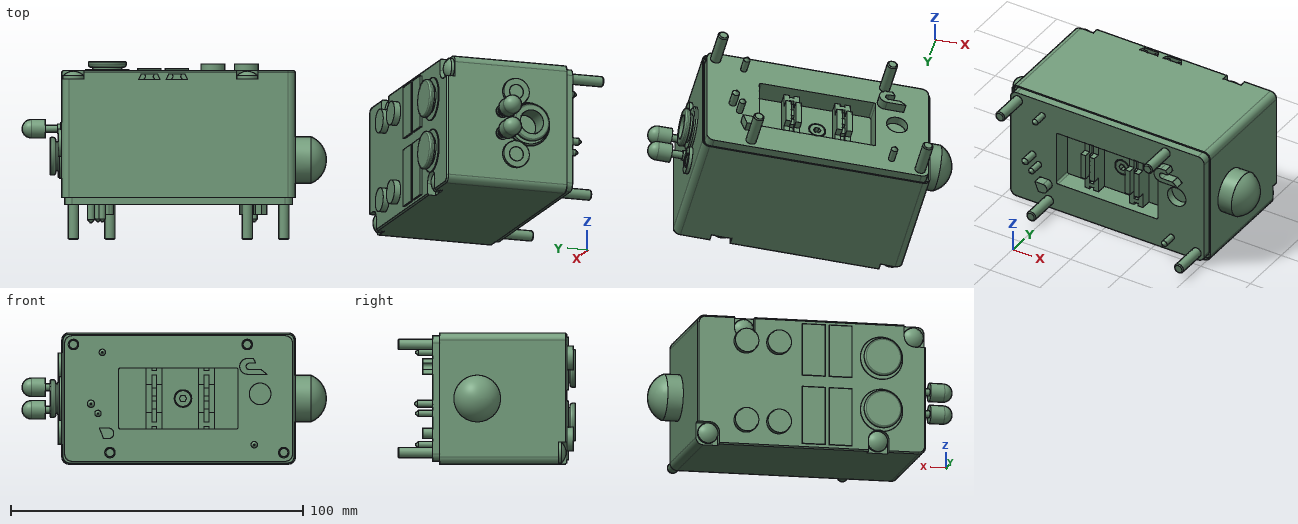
import cadquery as cq
import math


BODY_LENGTH = 80.0
BODY_HEIGHT = 45.0
CORNER_RADIUS = 2.5
SHELL_FRONT = 2.4
SHELL_BACK = 45.95
BACK_EDGE_CHAMFER = 0.5
RIM_WALL = 0.5
RIM_GROOVE_DEPTH = 1.0
PLATE_LENGTH = 78.0
PLATE_HEIGHT = 43.0

SCREW_PITCH = 59.5
SCREW_STAGGER = 12.5
SCREW_Z = 18.5
SCREW_RADIUS = 1.8
SCREW_TIP_Y = -11.9
SCREW_TIP_CHAMFER = 0.4
HEAD_NOTCH_RADIUS = 3.6
HEAD_NOTCH_DEPTH = 2.85
HEAD_RADIUS = 3.5
HEAD_RIM = 1.05
HEAD_HEIGHT = 2.6
SCREW_POSITIONS = [
    (-(SCREW_PITCH + SCREW_STAGGER) / 2, SCREW_Z),
    ((SCREW_PITCH - SCREW_STAGGER) / 2, SCREW_Z),
    (-(SCREW_PITCH - SCREW_STAGGER) / 2, -SCREW_Z),
    ((SCREW_PITCH + SCREW_STAGGER) / 2, -SCREW_Z),
]

PIN_TIP_LENGTH = 1.1
PIN_TIP_TAPER = 0.8
CONTACT_PINS = [
    (-26.1, 15.8, 1.1, 4.8),
    (-30.0, -1.8, 1.25, 5.1),
    (-27.6, -5.1, 1.1, 4.8),
    (25.9, -15.8, 1.1, 4.8),
]

KEY_HEIGHT = 3.4
D_KEY_LEFT = -27.1
D_KEY_FOOT_LEFT = -25.7
D_KEY_ARC_START = -23.8
D_KEY_RIGHT = -22.2
D_KEY_TOP = -10.1
D_KEY_BOTTOM = -13.7
HOOK_X = 23.6
HOOK_Z = 11.0
HOOK_OUTER_RADIUS = 2.7
HOOK_INNER_RADIUS = 1.1
HOOK_ARC_SHIFT = 0.6
HOOK_TOP_END = 25.6
HOOK_TOP_INNER_END = 26.4
HOOK_FOOT_END = 30.2
HOOK_FOOT_INNER_END = 28.3
RECESS_X = 27.9
RECESS_Z = 1.6
RECESS_RADIUS = 3.7
RECESS_DEPTH = 3.0

WINDOW_X = -0.1
WINDOW_LENGTH = 40.9
WINDOW_HEIGHT = 21.0
WINDOW_DEPTH = 7.2
WINDOW_CORNER = 0.7
BLOCK_PITCH = 17.9
BLOCK_CENTRE_X = 0.6
BLOCK_WIDTH = 5.45
BLOCK_FACE_Y = 3.3
BAR_LENGTH = 9.7
BAR_FACE_Y = 0.6
CHANNEL_WIDTH = 1.6
CHANNEL_DEPTH = 1.5
BRIDGE_Z = 8.8
BRIDGE_WIDTH = 1.6
RUNG_Z = 2.25
RUNG_WIDTH = 2.8
CLAMP_SCREW_X = 1.5
CLAMP_SCREW_RADIUS = 3.0
CLAMP_RING_WIDTH = 0.3
CLAMP_RECESS_DEPTH = 0.8
CLAMP_HEX = 2.5
CLAMP_HEX_DEPTH = 2.0

LEVER_Y = 26.0
LEVER_Z = 3.85
LEVER_KNOB_RADIUS = 3.2
LEVER_KNOB_START = -45.6
LEVER_TIP = -53.6
LEVER_STEM_RADIUS = 1.25
LEVER_COLLAR_RADIUS = 1.7
LEVER_COLLAR_END = -41.5
LEVER_NUT_RADIUS = 2.2
LEVER_NUT_END = -40.5
SOCKET_Y = 16.6
SOCKET_BASE_RADIUS = 7.6
SOCKET_BASE_END = -41.2
SOCKET_NECK_RADIUS = 5.0
SOCKET_LIP_RADIUS = 6.5
SOCKET_LIP_END = -44.0
SOCKET_LIP_WIDTH = 2.0
SOCKET_LIP_FACE_ROUND = 0.5
SOCKET_LIP_BACK_ROUND = 1.0
SOCKET_BASE_CHAMFER = 0.5
SOCKET_BORE_RADIUS = 4.2
SOCKET_BORE_DEPTH = 8.0
DISC_Y = 21.2
DISC_Z = 11.0
DISC_RADIUS = 4.65
DISC_END = -41.2
DISC_CORE_RADIUS = 2.5
DISC_CORE_DEPTH = 0.2

DOME_Y = 15.3
DOME_RADIUS = 8.0
DOME_START = 45.4
DOME_TIP = 50.62

REAR_LIP_X = -24.4
REAR_LIP_Z = (10.3, -8.0)
REAR_LIP_END = 49.0
REAR_BASE_RADIUS = 7.4
REAR_BASE_END = 46.3
REAR_BUTTON_RADIUS = 4.1
REAR_BUTTON_END = 48.2
REAR_BUTTON_COLUMNS_X = (11.75, 23.2)
REAR_BUTTON_Z = 13.9
LABEL_CENTRES_X = (-10.0, -0.6)
LABEL_WIDTH = 8.0
LABEL_END = 46.6
LABEL_SPANS_Z = ((3.0, 21.0), (-21.0, -1.0))

SLOT_CENTRES_X = (-10.0, -0.6)
SLOT_FRONT_Y = 42.9
SLOT_BACK_Y = 44.7
SLOT_FRONT_WIDTH = 7.3
SLOT_BACK_WIDTH = 5.6
SLOT_DEPTH = 0.9
SLOT_CORE_DEPTH = 1.5
SLOT_CORE_FRONT_WIDTH = 3.8
SLOT_CORE_WAIST = 2.5
SLOT_CORE_BACK_WIDTH = 3.2


def box(x_range, y_range, z_range):
    """Axis-aligned box between the given limits."""
    (x0, x1), (y0, y1), (z0, z1) = x_range, y_range, z_range
    return cq.Workplane("XY").box(x1 - x0, y1 - y0, z1 - z0, centered=False).translate((x0, y0, z0))


def y_plane(y):
    """Sketch plane at depth y, whose local axes are X and Z and whose normal is -Y."""
    return cq.Workplane("XZ", origin=(0, y, 0))


def y_cylinder(x, z, radius, y0, y1):
    """Cylinder along Y from y0 to y1."""
    return y_plane(y1).center(x, z).circle(radius).extrude(y1 - y0)


def x_cylinder(y, z, radius, x0, x1):
    """Cylinder along X from x0 to x1."""
    return cq.Workplane("YZ", origin=(x0, 0, 0)).center(y, z).circle(radius).extrude(x1 - x0)


def cap_middle(base, tip, radius):
    """Axial place and radius of the point halfway along a spherical cap's arc."""
    height = tip - base
    sphere_radius = (radius ** 2 + height ** 2) / (2 * abs(height))
    angle = math.acos(1 - abs(height) / sphere_radius) / 2
    drop = sphere_radius * (1 - math.cos(angle))
    return tip - math.copysign(drop, height), sphere_radius * math.sin(angle)


def x_domed_rod(y, z, radius, foot, base, tip):
    """Round rod along X from foot to base, closed by a spherical cap reaching tip."""
    profile = cq.Workplane("XY").moveTo(foot, 0).lineTo(foot, radius).lineTo(base, radius)
    profile = profile.threePointArc(cap_middle(base, tip, radius), (tip, 0)).close()
    return profile.revolve(360, (0, 0, 0), (1, 0, 0)).translate((0, y, z))


def make_enclosure():
    """Shell with a grooved rim around the mounting plate."""
    shell = y_plane(SHELL_BACK).rect(BODY_LENGTH, BODY_HEIGHT).extrude(SHELL_BACK - SHELL_FRONT)
    shell = shell.edges("|Y").fillet(CORNER_RADIUS)
    shell = shell.faces(">Y").edges().chamfer(BACK_EDGE_CHAMFER)
    groove_floor = SHELL_FRONT + RIM_GROOVE_DEPTH
    rim = y_plane(groove_floor).rect(BODY_LENGTH - 2 * RIM_WALL, BODY_HEIGHT - 2 * RIM_WALL)
    rim = rim.extrude(RIM_GROOVE_DEPTH).edges("|Y").fillet(CORNER_RADIUS - RIM_WALL)
    plate = y_plane(groove_floor).rect(PLATE_LENGTH, PLATE_HEIGHT).extrude(groove_floor)
    plate = plate.edges("|Y").fillet(CORNER_RADIUS)
    return shell.cut(rim).union(plate)


def make_head_notch(x, z, seat):
    """Round-bottomed notch for a screw head, open to the nearest long edge and any corner beside it."""
    edge_z = math.copysign(BODY_HEIGHT / 2, z)
    left, right = x - HEAD_NOTCH_RADIUS, x + HEAD_NOTCH_RADIUS
    notch = y_cylinder(x, z, HEAD_NOTCH_RADIUS, seat, SHELL_BACK)
    notch = notch.union(box((left, right), (seat, SHELL_BACK), sorted((z, edge_z))))
    if BODY_LENGTH / 2 - abs(x) < 2 * HEAD_NOTCH_RADIUS:
        inner_z = z - math.copysign(HEAD_NOTCH_RADIUS, z)
        x_range = sorted((x, math.copysign(BODY_LENGTH / 2, x)))
        notch = notch.union(box(x_range, (seat, SHELL_BACK), sorted((inner_z, edge_z))))
    return notch


def add_screws(body):
    """Four through screws with domed heads sunk in notches of the rear edges."""
    seat = SHELL_BACK - HEAD_NOTCH_DEPTH
    for x, z in SCREW_POSITIONS:
        body = body.cut(make_head_notch(x, z, seat))
        head = x_domed_rod(0, 0, HEAD_RADIUS, 0, HEAD_RIM, HEAD_HEIGHT)
        head = head.rotate((0, 0, 0), (0, 0, 1), 90).translate((x, seat, z))
        shank = y_cylinder(x, z, SCREW_RADIUS, SCREW_TIP_Y, seat)
        shank = shank.faces("<Y").chamfer(SCREW_TIP_CHAMFER)
        body = body.union(head).union(shank)
    return body


def add_contact_pins(body):
    """Small pins with pointed tips on the mounting face."""
    for x, z, radius, length in CONTACT_PINS:
        pin = y_cylinder(x, z, radius, -length - PIN_TIP_LENGTH, SHELL_FRONT)
        body = body.union(pin.faces("<Y").chamfer(PIN_TIP_LENGTH, radius * PIN_TIP_TAPER))
    return body


def add_keys(body):
    """D-shaped key and hook-shaped key on the mounting face."""
    d_key = (
        y_plane(0).moveTo(D_KEY_LEFT, D_KEY_TOP).lineTo(D_KEY_ARC_START, D_KEY_TOP)
        .threePointArc((D_KEY_RIGHT, (D_KEY_TOP + D_KEY_BOTTOM) / 2), (D_KEY_ARC_START, D_KEY_BOTTOM))
        .lineTo(D_KEY_FOOT_LEFT, D_KEY_BOTTOM).close().extrude(KEY_HEIGHT)
    )
    inner_x = HOOK_X + HOOK_ARC_SHIFT
    hook = (
        y_plane(0).moveTo(HOOK_TOP_END, HOOK_Z + HOOK_OUTER_RADIUS)
        .lineTo(HOOK_X, HOOK_Z + HOOK_OUTER_RADIUS)
        .threePointArc((HOOK_X - HOOK_OUTER_RADIUS, HOOK_Z), (HOOK_X, HOOK_Z - HOOK_OUTER_RADIUS))
        .lineTo(HOOK_FOOT_END, HOOK_Z - HOOK_OUTER_RADIUS)
        .lineTo(HOOK_FOOT_INNER_END, HOOK_Z - HOOK_INNER_RADIUS)
        .lineTo(inner_x, HOOK_Z - HOOK_INNER_RADIUS)
        .threePointArc((inner_x - HOOK_INNER_RADIUS, HOOK_Z), (inner_x, HOOK_Z + HOOK_INNER_RADIUS))
        .lineTo(HOOK_TOP_INNER_END, HOOK_Z + HOOK_INNER_RADIUS)
        .close().extrude(KEY_HEIGHT)
    )
    return body.union(d_key).union(hook)


def cut_recess(body):
    """Blind round recess in the mounting face."""
    return body.cut(y_cylinder(RECESS_X, RECESS_Z, RECESS_RADIUS, 0, RECESS_DEPTH))


def make_terminal_block(x):
    """Terminal block with two contact bars and a bridged channel between them."""
    half_width = BLOCK_WIDTH / 2
    half_height = WINDOW_HEIGHT / 2
    half_channel = CHANNEL_WIDTH / 2
    half_bar = BAR_LENGTH / 2
    x_range = (x - half_width, x + half_width)
    channel_x = (x - half_channel, x + half_channel)
    channel_floor = BLOCK_FACE_Y + CHANNEL_DEPTH
    block = box(x_range, (BLOCK_FACE_Y, WINDOW_DEPTH), (-half_height, half_height))
    block = block.union(box(x_range, (BAR_FACE_Y, BLOCK_FACE_Y), (-half_bar, half_bar)))
    block = block.cut(box(channel_x, (BAR_FACE_Y, channel_floor), (-half_height, half_height)))
    for side in (-1, 1):
        for z, width in ((BRIDGE_Z, BRIDGE_WIDTH), (RUNG_Z, RUNG_WIDTH)):
            z_range = (side * z - width / 2, side * z + width / 2)
            block = block.union(box(channel_x, (BLOCK_FACE_Y, channel_floor), z_range))
    return block


def add_terminals(body):
    """Window in the mounting face holding two terminal blocks and a clamp screw."""
    window = y_plane(WINDOW_DEPTH).center(WINDOW_X, 0).rect(WINDOW_LENGTH, WINDOW_HEIGHT)
    window = window.extrude(WINDOW_DEPTH).edges("|Y").fillet(WINDOW_CORNER)
    body = body.cut(window)
    for side in (-1, 1):
        body = body.union(make_terminal_block(BLOCK_CENTRE_X + side * BLOCK_PITCH / 2))
    recess_floor = WINDOW_DEPTH + CLAMP_RECESS_DEPTH
    ring = y_plane(recess_floor).center(CLAMP_SCREW_X, 0).circle(CLAMP_SCREW_RADIUS)
    ring = ring.circle(CLAMP_SCREW_RADIUS - CLAMP_RING_WIDTH).extrude(CLAMP_RECESS_DEPTH)
    hexagon = y_plane(WINDOW_DEPTH + CLAMP_HEX_DEPTH).center(CLAMP_SCREW_X, 0)
    hexagon = hexagon.polygon(6, CLAMP_HEX).extrude(CLAMP_HEX_DEPTH)
    return body.cut(ring).cut(hexagon)


def add_levers(body):
    """Two lever switches with ball-ended knobs on the left end."""
    knob_base = LEVER_TIP + LEVER_KNOB_RADIUS
    wall = -BODY_LENGTH / 2
    for z in (LEVER_Z, -LEVER_Z):
        knob = x_domed_rod(LEVER_Y, z, LEVER_KNOB_RADIUS, LEVER_KNOB_START, knob_base, LEVER_TIP)
        stem = x_cylinder(LEVER_Y, z, LEVER_STEM_RADIUS, LEVER_KNOB_START, wall)
        collar = x_cylinder(LEVER_Y, z, LEVER_COLLAR_RADIUS, LEVER_COLLAR_END, wall)
        nut = x_cylinder(LEVER_Y, z, LEVER_NUT_RADIUS, LEVER_NUT_END, wall)
        body = body.union(knob).union(stem).union(collar).union(nut)
    return body


def add_socket(body):
    """Cable socket with a rounded lip and two flush discs on the left end."""
    wall = -BODY_LENGTH / 2
    lip_back = SOCKET_LIP_END + SOCKET_LIP_WIDTH
    for z in (DISC_Z, -DISC_Z):
        disc = x_cylinder(DISC_Y, z, DISC_RADIUS, DISC_END, wall)
        core = x_cylinder(DISC_Y, z, DISC_CORE_RADIUS, DISC_END, DISC_END + DISC_CORE_DEPTH)
        body = body.union(disc.cut(core))
    base = x_cylinder(SOCKET_Y, 0, SOCKET_BASE_RADIUS, SOCKET_BASE_END, wall)
    base = base.faces("<X").chamfer(SOCKET_BASE_CHAMFER)
    neck = x_cylinder(SOCKET_Y, 0, SOCKET_NECK_RADIUS, SOCKET_LIP_END, wall)
    lip = x_cylinder(SOCKET_Y, 0, SOCKET_LIP_RADIUS, SOCKET_LIP_END, lip_back)
    lip = lip.faces("<X").edges().fillet(SOCKET_LIP_FACE_ROUND)
    lip = lip.faces(">X").edges().fillet(SOCKET_LIP_BACK_ROUND)
    bore = x_cylinder(SOCKET_Y, 0, SOCKET_BORE_RADIUS, SOCKET_LIP_END, SOCKET_LIP_END + SOCKET_BORE_DEPTH)
    return body.union(base).union(neck).union(lip).cut(bore)


def add_dome_button(body):
    """Round push button with a domed tip on the right end."""
    return body.union(x_domed_rod(DOME_Y, 0, DOME_RADIUS, BODY_LENGTH / 2, DOME_START, DOME_TIP))


def add_rear_details(body):
    """Rounded knobs, round buttons and raised label plates on the rear face."""
    for z in REAR_LIP_Z:
        base = y_cylinder(REAR_LIP_X, z, REAR_BASE_RADIUS, SHELL_BACK, REAR_BASE_END)
        neck = y_cylinder(REAR_LIP_X, z, SOCKET_NECK_RADIUS, SHELL_BACK, REAR_LIP_END)
        lip = y_cylinder(REAR_LIP_X, z, SOCKET_LIP_RADIUS, REAR_LIP_END - SOCKET_LIP_WIDTH, REAR_LIP_END)
        lip = lip.faces(">Y").edges().fillet(SOCKET_LIP_FACE_ROUND)
        lip = lip.faces("<Y").edges().fillet(SOCKET_LIP_BACK_ROUND)
        body = body.union(base).union(neck).union(lip)
    for x in REAR_BUTTON_COLUMNS_X:
        for z in (REAR_BUTTON_Z, -REAR_BUTTON_Z):
            body = body.union(y_cylinder(x, z, REAR_BUTTON_RADIUS, SHELL_BACK, REAR_BUTTON_END))
    for x in LABEL_CENTRES_X:
        for z_span in LABEL_SPANS_Z:
            x_range = (x - LABEL_WIDTH / 2, x + LABEL_WIDTH / 2)
            body = body.union(box(x_range, (SHELL_BACK, LABEL_END), z_span))
    return body


def cut_latch_slots(body):
    """Trapezoidal slots sunk into the upper side, each with a deeper waisted core."""
    outline = [(SLOT_FRONT_WIDTH / 2, SLOT_FRONT_Y), (SLOT_BACK_WIDTH / 2, SLOT_BACK_Y)]
    core_outline = [
        (SLOT_CORE_FRONT_WIDTH / 2, SLOT_FRONT_Y),
        (SLOT_CORE_WAIST / 2, (SLOT_FRONT_Y + SLOT_BACK_Y) / 2),
        (SLOT_CORE_BACK_WIDTH / 2, SLOT_BACK_Y),
    ]
    for x in SLOT_CENTRES_X:
        for right_side, depth in ((outline, SLOT_DEPTH), (core_outline, SLOT_CORE_DEPTH)):
            left_side = [(-px, py) for px, py in reversed(right_side)]
            top = cq.Workplane("XY", origin=(x, 0, BODY_HEIGHT / 2))
            body = body.cut(top.polyline(right_side + left_side).close().extrude(-depth))
    return body


body = make_enclosure()
body = add_terminals(body)
body = add_contact_pins(body)
body = add_keys(body)
body = cut_recess(body)
body = add_screws(body)
body = add_levers(body)
body = add_socket(body)
body = add_dome_button(body)
body = add_rear_details(body)
result = cut_latch_slots(body)